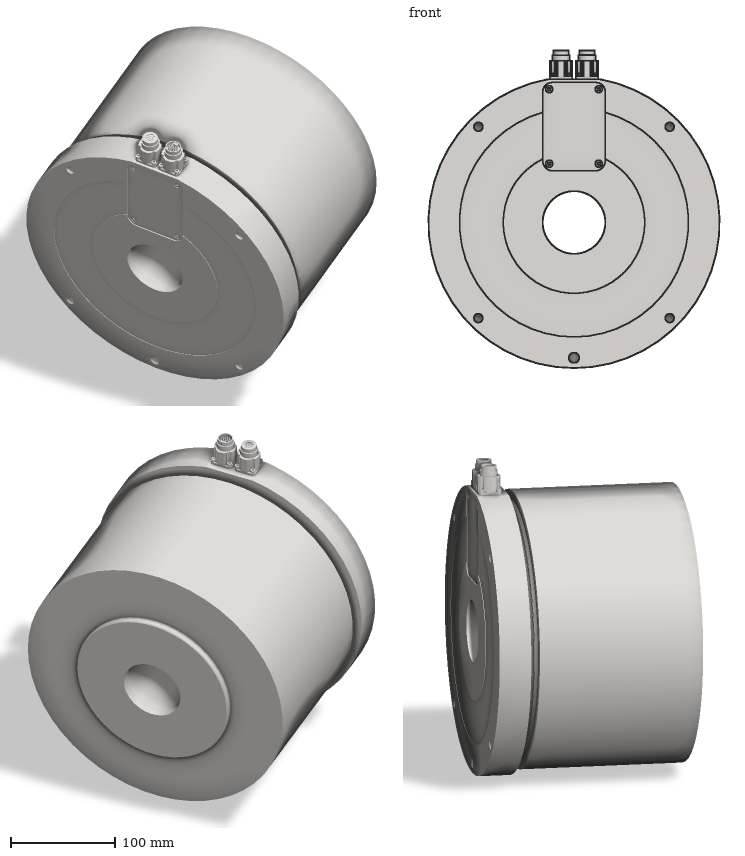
import cadquery as cq
import math


flange_radius = 140.0
flange_depth = 31.0
neck_radius = 122.0
neck_cone_radius = 125.5
neck_cone_end = 34.5
seal_radius = 124.0
seal_start = 36.6
collar_radius = 125.5
collar_start = 37.0
body_radius = 135.0
body_start = 40.3
body_end = 200.0
hub_radius = 80.0
overall_depth = 207.0
hub_chamfer = 1.0
bore_radius = 30.0

ring_outer_radius = 110.0
ring_inner_radius = 68.0
ring_depth = 0.5

mount_circle_radius = 130.0
mount_hole_angles = [45, 135, 225, 315]
mount_hole_diameter = 8.5
mount_hole_depth = 20.0
drill_point_angle = 118.0
pin_hole_diameter = 10.0
pin_hole_depth = 10.0

flat_width = 50.0
flat_height = math.sqrt(flange_radius**2 - (flat_width / 2) ** 2)

hexagon_corner_ratio = 2 / math.sqrt(3)

cover_width = 60.0
cover_bottom = 49.5
cover_top = 134.5
cover_top_radius = 9.0
cover_bottom_radius = 10.0
cover_depth = 1.0
cover_screw_spacing_x = 47.5
cover_screw_bottom = 56.5
cover_screw_top = 128.0
cover_screw_diameter = 6.8
cover_screw_sink = 0.5
cover_socket_size = 2.5
cover_socket_depth = 2.0

connector_spacing = 25.0
connector_y = 13.6
base_size = 22.0
base_corner_radius = 3.0
base_height = 2.5
grip_diameter = 22.0
grip_top = 17.5
pad_width = 6.0
pad_depth = 5.0
slit_width = 0.6
slit_depth = 0.8
slit_angles = [0, 62, 118, 180, 242, 298]
shoulder_diameter = 17.0
shoulder_top = 23.0
plug_diameter = 15.0
plug_top = 27.5

corner_screw_offset = 8.5
corner_screw_diameter = 4.5
corner_screw_height = 3.0
corner_socket_size = 2.5
corner_socket_depth = 1.5
flute_diameter = 5.0

contact_diameter = 1.0
contact_length = 3.0
socket_diameter = 8.5
socket_face_sink = 1.0
socket_contact_count = 6
socket_contact_circle = 5.0
keyway_width = 1.5
keyway_depth = 1.0
pin_cavity_diameter = 13.0
pin_cavity_depth = 4.0
pin_rings = [(6, 4.5), (12, 8.5)]
key_width = 5.0
key_length = 2.5
key_sink = 1.0


def along_axis(start):
    """Workplane facing +Y at the given distance behind the flange face."""
    return cq.Workplane(cq.Plane(origin=(0, start, 0), xDir=(-1, 0, 0), normal=(0, 1, 0)))


def make_housing():
    profile = [
        (bore_radius, 0),
        (flange_radius, 0),
        (flange_radius, flange_depth),
        (neck_cone_radius, flange_depth),
        (neck_radius, neck_cone_end),
        (neck_radius, seal_start),
        (seal_radius, seal_start),
        (seal_radius, collar_start),
        (collar_radius, collar_start),
        (collar_radius, body_start),
        (body_radius, body_start),
        (body_radius, body_end),
        (hub_radius, body_end),
        (hub_radius, overall_depth - hub_chamfer),
        (hub_radius - hub_chamfer, overall_depth),
        (bore_radius, overall_depth),
    ]
    return cq.Workplane("XY").polyline(profile).close().revolve(360, (0, 0, 0), (0, 1, 0))


def make_ring_recess():
    return along_axis(0).circle(ring_outer_radius).circle(ring_inner_radius).extrude(ring_depth)


def make_mount_holes():
    tip_length = mount_hole_diameter / 2 / math.tan(math.radians(drill_point_angle / 2))
    drill_profile = [
        (0, 0),
        (mount_hole_diameter / 2, 0),
        (mount_hole_diameter / 2, mount_hole_depth),
        (0, mount_hole_depth + tip_length),
    ]
    drill = cq.Workplane("XY").polyline(drill_profile).close().revolve(360, (0, 0, 0), (0, 1, 0))
    holes = cq.Workplane("XY")
    for angle in mount_hole_angles:
        x = mount_circle_radius * math.cos(math.radians(angle))
        z = mount_circle_radius * math.sin(math.radians(angle))
        holes = holes.add(drill.translate((x, 0, z)))
    return holes.combine()


def make_pin_hole():
    hole = along_axis(0).circle(pin_hole_diameter / 2).extrude(pin_hole_depth)
    return hole.translate((0, 0, -mount_circle_radius))


def make_flat_cut():
    height = flange_radius - flat_height
    block = cq.Workplane("XY").box(flat_width, flange_depth, height, centered=(True, False, False))
    return block.translate((0, 0, flat_height))


def make_cover_recess():
    pocket = (
        along_axis(0)
        .rect(cover_width, cover_top - cover_bottom)
        .extrude(cover_depth)
        .edges("|Y and >Z")
        .fillet(cover_top_radius)
        .edges("|Y and <Z")
        .fillet(cover_bottom_radius)
        .translate((0, 0, (cover_top + cover_bottom) / 2))
    )
    head_face = cover_depth + cover_screw_sink
    screw = along_axis(0).circle(cover_screw_diameter / 2).extrude(head_face)
    socket_across_corners = cover_socket_size * hexagon_corner_ratio
    socket = along_axis(0).polygon(6, socket_across_corners).extrude(head_face + cover_socket_depth)
    socket = socket.rotate((0, 0, 0), (0, 1, 0), 90)
    for x in (-cover_screw_spacing_x / 2, cover_screw_spacing_x / 2):
        for z in (cover_screw_bottom, cover_screw_top):
            pocket = pocket.union(screw.union(socket).translate((x, 0, z)))
    return pocket


def disc(diameter, bottom, top):
    """Upright cylinder between two heights above the flat."""
    return cq.Workplane("XY", origin=(0, 0, bottom)).circle(diameter / 2).extrude(top - bottom)


def make_corner_screw():
    head_top = base_height + corner_screw_height
    socket = (
        cq.Workplane("XY", origin=(0, 0, head_top - corner_socket_depth))
        .polygon(6, corner_socket_size * hexagon_corner_ratio)
        .extrude(corner_socket_depth)
    )
    return disc(corner_screw_diameter, base_height, head_top).cut(socket)


def make_connector_shell():
    base = cq.Workplane("XY").rect(base_size, base_size).extrude(base_height)
    base = base.edges("|Z").fillet(base_corner_radius)
    grip = disc(grip_diameter, 0, grip_top)
    for side in (-1, 1):
        pad = cq.Workplane("XY").box(pad_width, pad_depth, grip_top, centered=(True, True, False))
        grip = grip.union(pad.translate((0, side * (base_size - pad_depth) / 2, 0)))
    slit = cq.Workplane("XY", origin=(grip_diameter / 2, 0, base_height))
    slit = slit.rect(2 * slit_depth, slit_width).extrude(grip_top - base_height)
    for angle in slit_angles:
        grip = grip.cut(slit.rotate((0, 0, 0), (0, 0, 1), angle))
    corners = [(x, y) for x in (-1, 1) for y in (-1, 1)]
    for x, y in corners:
        place = (x * corner_screw_offset, y * corner_screw_offset, 0)
        grip = grip.cut(disc(flute_diameter, base_height, grip_top).translate(place))
    shell = base.union(grip)
    shell = shell.union(disc(shoulder_diameter, grip_top, shoulder_top))
    shell = shell.union(disc(plug_diameter, shoulder_top, plug_top))
    for x, y in corners:
        place = (x * corner_screw_offset, y * corner_screw_offset, 0)
        shell = shell.union(make_corner_screw().translate(place))
    return shell


def contact_places(count, circle_diameter):
    """One contact in the middle and the rest evenly around a circle."""
    places = [(0, 0)]
    for i in range(count):
        angle = 2 * math.pi * i / count
        places.append((circle_diameter / 2 * math.cos(angle), circle_diameter / 2 * math.sin(angle)))
    return places


def make_socket_connector():
    face = plug_top - socket_face_sink
    shell = make_connector_shell().cut(disc(socket_diameter, face, plug_top))
    keyway = cq.Workplane("XY", origin=(0, socket_diameter / 2, face))
    shell = shell.cut(keyway.rect(keyway_width, 2 * keyway_depth).extrude(socket_face_sink))
    contact = disc(contact_diameter, face - contact_length, face)
    for x, y in contact_places(socket_contact_count, socket_contact_circle):
        shell = shell.cut(contact.translate((x, y, 0)))
    return shell


def make_pin_connector():
    floor = plug_top - pin_cavity_depth
    shell = make_connector_shell().cut(disc(pin_cavity_diameter, floor, plug_top))
    key = cq.Workplane("XY", origin=(0, (pin_cavity_diameter - key_length) / 2, floor))
    shell = shell.union(key.rect(key_width, key_length).extrude(pin_cavity_depth - key_sink))
    contact = disc(contact_diameter, floor, floor + contact_length)
    for count, circle_diameter in pin_rings:
        for x, y in contact_places(count, circle_diameter):
            shell = shell.union(contact.translate((x, y, 0)))
    return shell


result = (
    make_housing()
    .cut(make_ring_recess())
    .cut(make_flat_cut())
    .cut(make_cover_recess())
    .cut(make_mount_holes())
    .cut(make_pin_hole())
    .union(make_socket_connector().translate((-connector_spacing / 2, connector_y, flat_height)))
    .union(make_pin_connector().translate((connector_spacing / 2, connector_y, flat_height)))
)